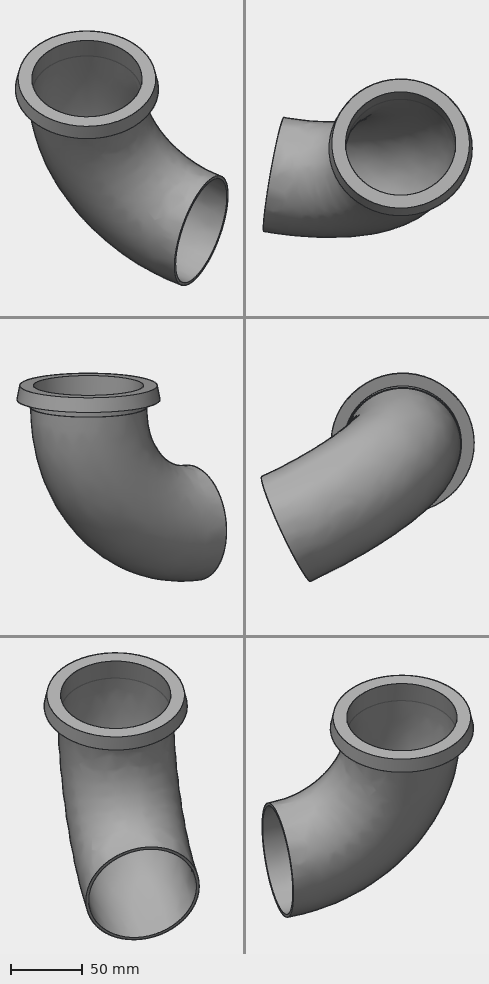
import cadquery as cq

overall_height = 147.5
pipe_diameter = 81.0
wall = 2.0
bend_reach = 90.0
flange_diameter = 100.0
flange_top_diameter = 96.0
flange_height = 10.0
collar_diameter = 82.2
collar_height = 5.0

bore_diameter = pipe_diameter - 2 * wall
top_z = overall_height - pipe_diameter / 2
flange_base_z = top_z - flange_height
collar_base_z = flange_base_z - collar_height
bend_rise = collar_base_z


def bend_path():
    """Quarter ellipse centreline, from the collar base on the Z axis down to the outlet."""
    return (
        cq.Workplane("XZ", origin=(bend_reach, 0, bend_rise))
        .ellipseArc(bend_reach, bend_rise, 180, 270, startAtCurrent=False)
    )


def disc(base_z, diameter, height):
    """Solid cylinder on the inlet axis."""
    return cq.Workplane("XY").workplane(offset=base_z).circle(diameter / 2).extrude(height)


def bend(diameter):
    """Round bar following the bend centreline."""
    section = cq.Workplane("XY").workplane(offset=bend_rise).circle(diameter / 2)
    return section.sweep(bend_path())


def flange():
    """Flange disc that narrows towards its top face."""
    return (
        cq.Workplane("XY")
        .workplane(offset=flange_base_z)
        .circle(flange_diameter / 2)
        .workplane(offset=flange_height)
        .circle(flange_top_diameter / 2)
        .loft(ruled=True)
    )


collar = disc(collar_base_z, collar_diameter, collar_height)
inlet_bore = disc(collar_base_z, bore_diameter, collar_height + flange_height)

pipe = bend(pipe_diameter).cut(bend(bore_diameter))
inlet_ring = collar.union(flange()).cut(inlet_bore)
result = pipe.union(inlet_ring)